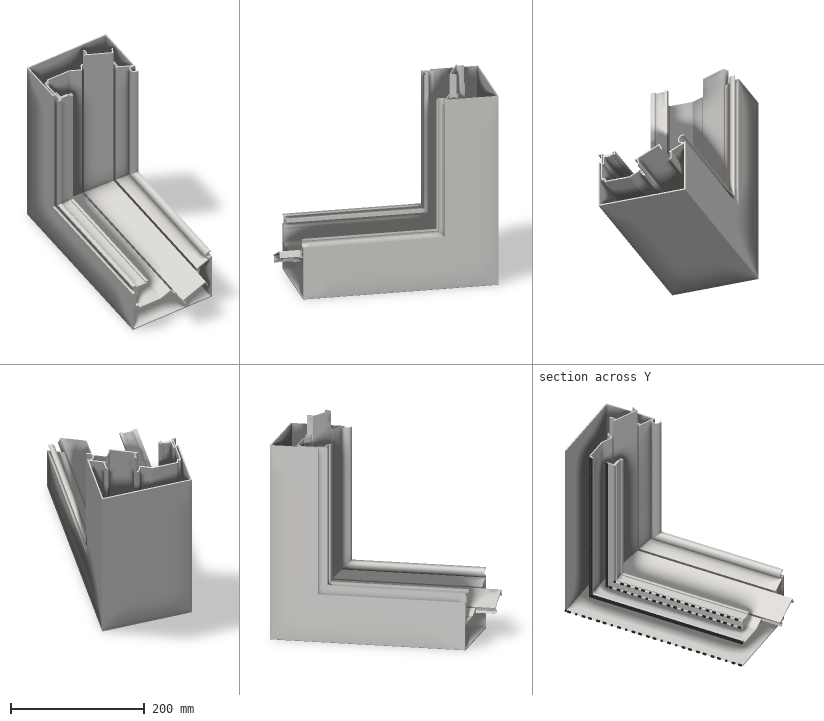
import cadquery as cq
import math


COVER_LENGTH = 330.0
LEG_LENGTH = 300.0
DEPTH = 140.0
WALL = 2.0
CORNER_RADIUS = 1.0

SLOPE_ANGLE = 25.0
SLOPE_FOOT_X = 40.5
SLOPE_FOOT_Y = 49.8
SILL_SLOPE_END = 67.3
COVER_SLOPE_START = 70.0
COVER_SLOPE_END = 110.2
FRAME_SLOPE_START = 113.2

STEP_X = 73.5
STEP_DEPTH = 4.3
LIP_X = 84.8
LIP_TOP = 27.0
SEAL_GROOVE = 1.3
LOWER_EDGE_TOP = 7.3
LOWER_EDGE_BEVEL = 1.0
UPPER_EDGE_BOTTOM = 22.8

FRAME_HOOK_Y = 116.0
FRAME_HOOK_TIP = [(57.5, 114.0), (59.5, FRAME_HOOK_Y)]

GUTTER_RADIUS = 7.5
GUTTER_X = 87.0
GUTTER_Y = 135.5
GUTTER_TOP = 138.0

SILL_LIP_TOP = 20.0
ARM_TOP = 9.2
TRAY_TOP = 6.3
TRAY_LEFT = 46.0
TRAY_RIGHT = STEP_X - 2 * WALL
JOG_BOTTOM = 10.2
JOG_TOP = 12.5
NUB_LENGTH = 2.3
NUB_BOTTOM = 6.5

SILL_HOOK = [(40.0, 72.5), (38.5, 75.5)]

LOWER_CLIP = [(43.5, 77.5), (39.3, 76.2)]
LOWER_CLIP_ROOT = 75.2
UPPER_CLIP_TIP = (59.5, 115.0)


def slope_point(y, inset=0.0):
    """Point at depth y on the sloping outer face, or moved inset to its left."""
    return (SLOPE_FOOT_X + (y - SLOPE_FOOT_Y) * math.tan(math.radians(SLOPE_ANGLE)) - inset, y)


def strip(path, length):
    """Bent wall that follows path along one face and lies on the left of its direction."""
    points = [cq.Vector(x, y) for x, y in path]
    normals = []
    for start, end in zip(points, points[1:]):
        along = (end - start).normalized()
        normals.append(cq.Vector(-along.y, along.x))
    offset_face = []
    for point, before, after in zip(points, normals[:1] + normals, normals + normals[-1:]):
        bisector = before + after
        offset_face.append(point + bisector * (WALL / bisector.dot(before)))
    outline = points + offset_face[::-1]
    return cq.Workplane("XY").polyline([(p.x, p.y) for p in outline]).close().extrude(length)


def bar(x_min, x_max, y_min, y_max, length):
    """Rectangular bar along the leg."""
    width = x_max - x_min
    depth = y_max - y_min
    return cq.Workplane("XY").box(width, depth, length, centered=False).translate((x_min, y_min, 0))


def mitred(section, length):
    """Cut the foot of an upright section along the plane X = Z."""
    waste = cq.Workplane("XZ").polyline([(0, 0), (length, 0), (length, length)]).close().extrude(-DEPTH)
    return section.cut(waste)


def both_legs(upright):
    """The upright body and its mirror image across the mitre plane."""
    solid = upright.solids().val()
    return [solid, solid.mirror(cq.Vector(1, 0, -1))]


def gutter():
    """U-shaped gutter, open to the back."""
    outer_left = GUTTER_X - GUTTER_RADIUS
    outer_right = GUTTER_X + GUTTER_RADIUS
    return (
        cq.Workplane("XY")
        .moveTo(outer_left, GUTTER_TOP)
        .lineTo(outer_left, GUTTER_Y)
        .threePointArc((GUTTER_X, GUTTER_Y - GUTTER_RADIUS), (outer_right, GUTTER_Y))
        .lineTo(outer_right, GUTTER_TOP)
        .lineTo(outer_right - WALL, GUTTER_TOP)
        .lineTo(outer_right - WALL, GUTTER_Y)
        .threePointArc((GUTTER_X, GUTTER_Y - GUTTER_RADIUS + WALL), (outer_left + WALL, GUTTER_Y))
        .lineTo(outer_left + WALL, GUTTER_TOP)
        .close()
        .extrude(LEG_LENGTH)
    )


def seal_groove():
    """Two retaining edges that stand in front of the lip."""
    edge_left = LIP_X + SEAL_GROOVE
    edge_right = edge_left + WALL
    lower_edge = bar(edge_left, edge_right, 0, LOWER_EDGE_TOP, LEG_LENGTH)
    lower_edge = lower_edge.edges("|Z and >X and >Y").chamfer(LOWER_EDGE_BEVEL)
    lower_web = bar(LIP_X - WALL, edge_right, STEP_DEPTH, STEP_DEPTH + WALL, LEG_LENGTH)
    upper_edge = bar(edge_left, edge_right, UPPER_EDGE_BOTTOM, LIP_TOP, LEG_LENGTH)
    upper_web = bar(LIP_X - WALL, edge_right, LIP_TOP - WALL, LIP_TOP, LEG_LENGTH)
    return lower_edge.union(lower_web).union(upper_edge).union(upper_web)


def make_frame():
    shell = strip(
        [
            slope_point(FRAME_SLOPE_START),
            slope_point(DEPTH),
            (0, DEPTH),
            (0, 0),
            (STEP_X, 0),
            (STEP_X, STEP_DEPTH),
            (LIP_X, STEP_DEPTH),
            (LIP_X, LIP_TOP),
        ],
        LEG_LENGTH,
    )
    shell = shell.edges("|Z").edges("<X").fillet(CORNER_RADIUS)
    hook = strip([*FRAME_HOOK_TIP, slope_point(FRAME_HOOK_Y, WALL / 2)], LEG_LENGTH)
    section = shell.union(hook).union(seal_groove()).union(gutter())
    return mitred(section, LEG_LENGTH)


def make_sill():
    lip_face = LIP_X - 2 * WALL
    body = strip(
        [
            (lip_face, SILL_LIP_TOP),
            (lip_face, ARM_TOP),
            (TRAY_RIGHT, ARM_TOP),
            (TRAY_RIGHT, TRAY_TOP),
            (TRAY_LEFT, TRAY_TOP),
            (TRAY_LEFT, JOG_BOTTOM),
            (SLOPE_FOOT_X, JOG_TOP),
            (SLOPE_FOOT_X, SLOPE_FOOT_Y),
            slope_point(SILL_SLOPE_END),
            *SILL_HOOK,
        ],
        LEG_LENGTH,
    )
    nub_right = TRAY_LEFT - WALL / 2
    nub = bar(TRAY_LEFT - WALL - NUB_LENGTH, nub_right, NUB_BOTTOM, NUB_BOTTOM + WALL, LEG_LENGTH)
    return mitred(body.union(nub), LEG_LENGTH)


def make_cover():
    plate = strip(
        [slope_point(COVER_SLOPE_START), slope_point(COVER_SLOPE_END), UPPER_CLIP_TIP],
        COVER_LENGTH,
    )
    lower_clip = strip([slope_point(LOWER_CLIP_ROOT, WALL / 2), *LOWER_CLIP], COVER_LENGTH)
    return mitred(plate.union(lower_clip), COVER_LENGTH)


frames = both_legs(make_frame())
sills = both_legs(make_sill())
covers = both_legs(make_cover())

result = cq.Compound.makeCompound([*frames, *sills, *covers])